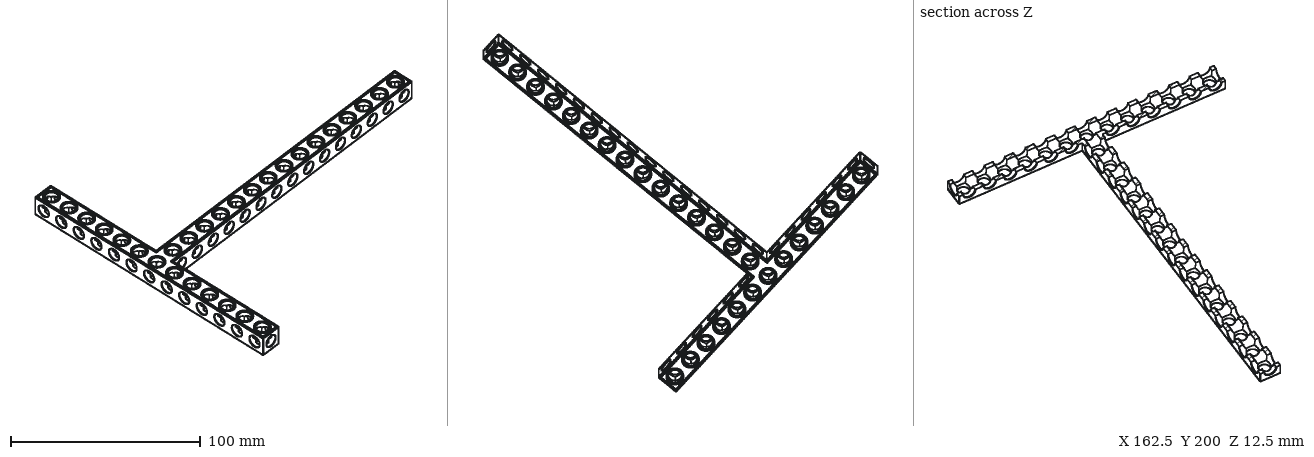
import cadquery as cq

PITCH = 12.5
BAR_HOLES = 13
STEM_HOLES = 15
HOLE_DIAMETER = 7.0
EDGE_CHAMFER = 0.3
WALL = 1.1
RECESS_DEPTH = 0.2

HALF = PITCH / 2
BAR_LENGTH = BAR_HOLES * PITCH
TOTAL_DEPTH = (STEM_HOLES + 1) * PITCH
STEM_TIP = TOTAL_DEPTH - HALF
HOLE_RADIUS = HOLE_DIAMETER / 2
COLLAR_RADIUS = HOLE_RADIUS + WALL

BAR_XS = [(i - (BAR_HOLES - 1) / 2) * PITCH for i in range(BAR_HOLES)]
ROW_YS = [i * PITCH for i in range(STEM_HOLES + 1)]
VERTICAL_HOLES = [(x, 0) for x in BAR_XS] + [(0, y) for y in ROW_YS if y > 0]

AXIS_X = cq.Vector(1, 0, 0)
AXIS_Y = cq.Vector(0, 1, 0)
AXIS_Z = cq.Vector(0, 0, 1)


def make_tee(inset, bottom, height):
    """T-shaped plate whose outline is moved inward by `inset`."""
    half_bar = BAR_LENGTH / 2 - inset
    half_width = HALF - inset
    outline = [
        (-half_bar, -half_width),
        (half_bar, -half_width),
        (half_bar, half_width),
        (half_width, half_width),
        (half_width, STEM_TIP - inset),
        (-half_width, STEM_TIP - inset),
        (-half_width, half_width),
        (-half_bar, half_width),
    ]
    return cq.Workplane("XY", origin=(0, 0, bottom)).polyline(outline).close().extrude(height)


def make_body():
    """T-shaped beam, every edge chamfered but the two upright ones at the inside corners."""
    tee = make_tee(0, -HALF, PITCH)
    outside_corners = tee.edges("|Z and (<X or >X or >Y)")
    return outside_corners.chamfer(EDGE_CHAMFER).faces("|Z").edges().chamfer(EDGE_CHAMFER)


def make_recess(bottom):
    """Shallow T pocket inside the rim, with a collar left standing around each hole."""
    collars = (
        cq.Workplane("XY", origin=(0, 0, bottom))
        .pushPoints(VERTICAL_HOLES)
        .circle(COLLAR_RADIUS)
        .extrude(RECESS_DEPTH)
    )
    return make_tee(WALL, bottom, RECESS_DEPTH).cut(collars)


def make_through_hole(start, axis, length):
    """Through hole with a chamfered mouth at each end, as a list of cutting solids."""
    end = start + axis * length
    mouth_radius = HOLE_RADIUS + EDGE_CHAMFER
    tools = [cq.Solid.makeCylinder(HOLE_RADIUS, length, start, axis)]
    for mouth, inward in [(start, axis), (end, -axis)]:
        tools.append(cq.Solid.makeCone(mouth_radius, HOLE_RADIUS, EDGE_CHAMFER, mouth, inward))
    return tools


def make_holes():
    """Cross holes in all three directions; bar and stem are also bored end to end."""
    tools = []
    for x, y in VERTICAL_HOLES:
        tools += make_through_hole(cq.Vector(x, y, -HALF), AXIS_Z, PITCH)
    for x in BAR_XS:
        length = TOTAL_DEPTH if x == 0 else PITCH
        tools += make_through_hole(cq.Vector(x, -HALF, 0), AXIS_Y, length)
    for y in ROW_YS:
        length = BAR_LENGTH if y == 0 else PITCH
        tools += make_through_hole(cq.Vector(-length / 2, y, 0), AXIS_X, length)
    return tools


recessed_body = make_body().cut(make_recess(HALF - RECESS_DEPTH)).cut(make_recess(-HALF))
drilled_body = recessed_body.val().cut(*make_holes())
result = cq.Workplane("XY").newObject(drilled_body.Solids())